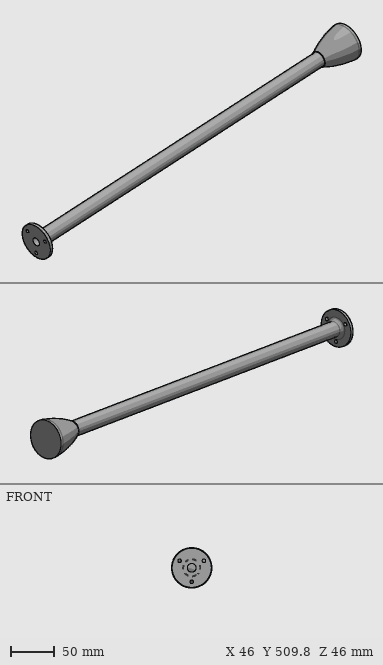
import cadquery as cq
import math

overall_length = 509.81

flange_diameter = 44.5
flange_thickness = 4.0
flange_fillet_radius = 4.0
shaft_diameter = 18.4
bore_diameter = 10.0

screw_hole_diameter = 4.0
screw_circle_radius = 16.0
screw_hole_count = 3
first_screw_angle = 30.0

rod_recess = 10.0
rod_dome_height = 0.5

cup_length = 46.0
cup_rim_diameter = 46.0
cup_rim_height = 3.5
cup_foot_diameter = 20.5
cup_side_bulge = 1.8

shaft_radius = shaft_diameter / 2
bore_radius = bore_diameter / 2
cup_start = overall_length - cup_length


def revolve_about_y(profile):
    """Turn a closed profile of (radius, y) points fully round the Y axis."""
    return profile.close().revolve(360, (0, 0, 0), (0, 1, 0))


def make_screw_holes():
    """Cutters for the ring of plain screw holes through the flange."""
    return (
        cq.Workplane("XZ")
        .polarArray(screw_circle_radius, first_screw_angle, 360, screw_hole_count)
        .circle(screw_hole_diameter / 2)
        .extrude(-flange_thickness)
    )


def make_stem():
    """Bored shaft that grows out of a round flange through a concave fillet."""
    fillet_outer_radius = shaft_radius + flange_fillet_radius
    fillet_top = flange_thickness + flange_fillet_radius
    fillet_inset = flange_fillet_radius * (1 - math.sqrt(0.5))
    profile = (
        cq.Workplane("XY")
        .moveTo(bore_radius, 0)
        .lineTo(flange_diameter / 2, 0)
        .lineTo(flange_diameter / 2, flange_thickness)
        .lineTo(fillet_outer_radius, flange_thickness)
        .threePointArc(
            (shaft_radius + fillet_inset, flange_thickness + fillet_inset),
            (shaft_radius, fillet_top),
        )
        .lineTo(shaft_radius, cup_start)
        .lineTo(bore_radius, cup_start)
    )
    return revolve_about_y(profile).cut(make_screw_holes())


def make_rod():
    """Rod that fills the bore up to the cup, with a shallow domed end recessed in the flange side."""
    dome_edge = rod_recess + rod_dome_height
    profile = (
        cq.Workplane("XY")
        .moveTo(0, cup_start)
        .lineTo(bore_radius, cup_start)
        .lineTo(bore_radius, dome_edge)
        .radiusArc(
            (0, rod_recess),
            (bore_radius**2 + rod_dome_height**2) / (2 * rod_dome_height),
        )
    )
    return revolve_about_y(profile)


def make_cup():
    """Solid cup flaring in a bulged curve from the shaft to a short cylindrical rim."""
    rim_radius = cup_rim_diameter / 2
    foot_radius = cup_foot_diameter / 2
    rim_start = overall_length - cup_rim_height
    profile = (
        cq.Workplane("XY")
        .moveTo(0, cup_start)
        .lineTo(foot_radius, cup_start)
        .sagittaArc((rim_radius, rim_start), -cup_side_bulge)
        .lineTo(rim_radius, overall_length)
        .lineTo(0, overall_length)
    )
    return revolve_about_y(profile)


stem = make_stem()
rod = make_rod()
cup = make_cup()

result = cq.Compound.makeCompound([stem.val(), rod.val(), cup.val()])